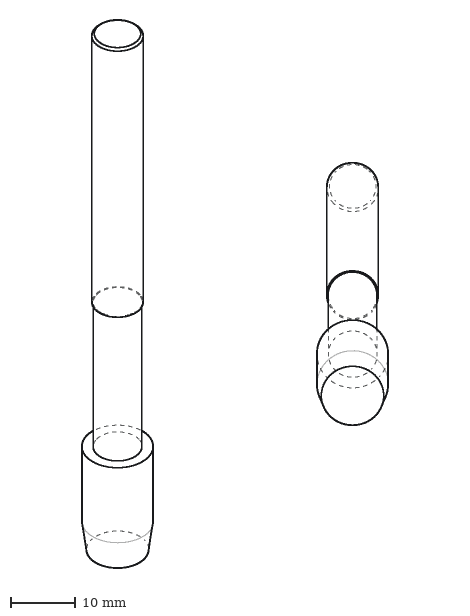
import cadquery as cq

overall_length = 100.0
head_length = 20.0
lead_length = 5.5
neck_top = 48.0

head_diameter = 11.1
lead_tip_diameter = 9.7
neck_diameter = 7.6
shank_diameter = 8.0
shank_chamfer = 0.4


def make_head():
    """Cylindrical cutting head with a tapered lead at its lower end."""
    lead = (
        cq.Workplane("XY")
        .circle(lead_tip_diameter / 2)
        .workplane(offset=lead_length)
        .circle(head_diameter / 2)
        .loft(ruled=True)
    )
    return lead.faces(">Z").workplane().circle(head_diameter / 2).extrude(head_length - lead_length)


def make_shaft():
    """Slim neck standing on the head, widening into a shank with a chamfered top."""
    neck = (
        cq.Workplane("XY")
        .workplane(offset=head_length)
        .circle(neck_diameter / 2)
        .extrude(neck_top - head_length)
    )
    shank = (
        cq.Workplane("XY")
        .workplane(offset=neck_top)
        .circle(shank_diameter / 2)
        .extrude(overall_length - neck_top)
        .faces(">Z")
        .chamfer(shank_chamfer)
    )
    return neck.union(shank)


head = make_head()
shaft = make_shaft()

result = cq.Compound.makeCompound([head.val(), shaft.val()])